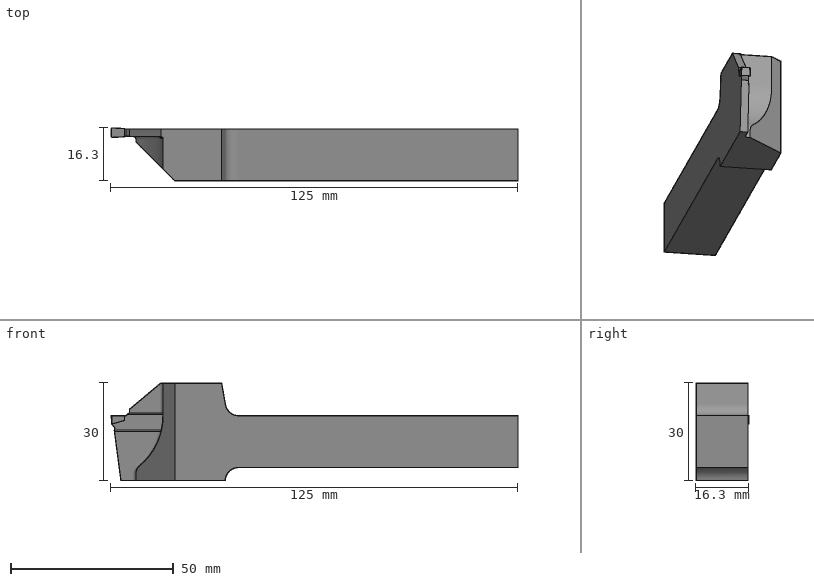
import cadquery as cq
import math


overall_length = 125.0
shank_size = 16.0
head_top = 10.0
head_bottom = -20.0
head_rear_top_x = 34.0
head_rear_draft = math.radians(10)
head_rear_fillet = 4.0

blade_thickness = 2.4
blade_bottom_x = 3.0
blade_relief = math.radians(7.5)
blade_lip_z = -4.6
throat_x = 1.1
throat_z = -3.8
nose_x = 5.6
nose_top_z = 1.9
nose_bottom_z = 0.9
nose_rear_x = 15.3
seat_top_x = 4.6

wall_upper_x = 16.0
wall_lower_x = 7.65
wall_radius = 20.0
wall_toe_radius = 3.0
wall_fillet = 1.0
front_bevel_end_x = 19.6

groove_depth = 0.2
groove_end_gap = 0.1
groove_bevel = 0.38
groove_floor_top = 0.38
groove_floor_bottom = -4.5

insert_width = 2.98
insert_length = 4.15
insert_rear_height = 1.5
insert_front_height = 2.6
insert_front_setback = 0.2
insert_side_taper = math.radians(2.5)
insert_corner = 0.3

pick = 0.1

clear = 5.0


def front_sketch(y):
    """Workplane with local axes X and Z whose positive extrusion runs toward -Y."""
    return cq.Workplane("XZ", origin=(0, y, 0))


def make_holder_blank():
    """Full-depth outline of the shank, head, blade and insert seat."""
    draft = math.tan(head_rear_draft)
    neck_x = head_rear_top_x + head_top * draft
    head_rear_bottom_x = neck_x - (-shank_size - head_bottom) * draft
    lip_x = blade_bottom_x - (blade_lip_z - head_bottom) * math.tan(blade_relief)
    blank = (
        front_sketch(0)
        .moveTo(overall_length, 0)
        .lineTo(neck_x, 0)
        .lineTo(head_rear_top_x, head_top)
        .lineTo(nose_rear_x, head_top)
        .lineTo(nose_x, nose_top_z)
        .lineTo(nose_x, nose_bottom_z)
        .lineTo(seat_top_x, 0)
        .lineTo(insert_length, 0)
        .lineTo(insert_length, -insert_rear_height)
        .lineTo(insert_front_setback, -insert_front_height)
        .lineTo(throat_x, throat_z)
        .lineTo(lip_x, blade_lip_z)
        .lineTo(blade_bottom_x, head_bottom)
        .lineTo(head_rear_bottom_x, head_bottom)
        .lineTo(neck_x, -shank_size)
        .lineTo(overall_length, -shank_size)
        .close()
        .extrude(shank_size)
    )
    for z in (0, -shank_size):
        neck = cq.selectors.BoxSelector(
            (neck_x - pick, -shank_size, z - pick), (neck_x + pick, 0, z + pick)
        )
        blank = blank.edges("|Y").edges(neck).fillet(head_rear_fillet)
    return blank


def make_front_bevel():
    """45 degree bevel on the front vertical corner of the head, ending at the blade face."""
    blade_end_x = front_bevel_end_x - (shank_size - blade_thickness)
    return (
        cq.Workplane("XY", origin=(0, 0, head_bottom))
        .moveTo(front_bevel_end_x + clear, -shank_size - clear)
        .lineTo(blade_end_x, -blade_thickness)
        .lineTo(-clear, -blade_thickness)
        .lineTo(-clear, -shank_size - clear)
        .close()
        .extrude(head_top - head_bottom)
    )


def make_pocket(floor_y, wall_gap=0.0):
    """Space from the floor outward to -Y, bounded by a curve that runs wall_gap short of the wall."""
    sweep = math.acos(1 - (wall_upper_x - wall_lower_x) / (wall_radius + wall_toe_radius))
    arc_centre_x = wall_upper_x - wall_radius
    arc_radius = wall_radius - wall_gap
    toe_centre_x = wall_lower_x + wall_toe_radius
    toe_radius = wall_toe_radius + wall_gap
    upper_x = wall_upper_x - wall_gap
    lower_x = wall_lower_x - wall_gap
    toe_z = -(wall_radius + wall_toe_radius) * math.sin(sweep)

    def on_wall(angle):
        return (arc_centre_x + arc_radius * math.cos(angle), -arc_radius * math.sin(angle))

    toe_middle = (
        toe_centre_x - toe_radius * math.cos(sweep / 2),
        toe_z + toe_radius * math.sin(sweep / 2),
    )
    return (
        front_sketch(floor_y)
        .moveTo(-clear, head_top + clear)
        .lineTo(upper_x, head_top + clear)
        .lineTo(upper_x, 0)
        .threePointArc(on_wall(sweep / 2), on_wall(sweep))
        .threePointArc(toe_middle, (lower_x, toe_z))
        .lineTo(lower_x, head_bottom - clear)
        .lineTo(-clear, head_bottom - clear)
        .close()
        .extrude(shank_size + clear)
    )


def make_groove():
    """Bevel-sided groove along X that stops just short of the curved wall."""
    floor_y = groove_depth - blade_thickness
    outer_y = -blade_thickness - wall_fillet
    top = groove_floor_top + groove_bevel
    bottom = groove_floor_bottom - groove_bevel
    band = (
        cq.Workplane("YZ", origin=(-clear, 0, 0))
        .moveTo(floor_y, groove_floor_top)
        .lineTo(-blade_thickness, top)
        .lineTo(outer_y, top)
        .lineTo(outer_y, bottom)
        .lineTo(-blade_thickness, bottom)
        .lineTo(floor_y, groove_floor_bottom)
        .close()
        .extrude(wall_upper_x + 2 * clear)
    )
    return band.intersect(make_pocket(floor_y, groove_end_gap))


def make_filleted_pocket():
    """Pocket down to the blade face, its floor rounded into the curved wall."""
    wall_foot = cq.selectors.BoxSelector(
        (wall_lower_x - pick, -blade_thickness - pick, head_bottom - clear + pick),
        (wall_upper_x + pick, -blade_thickness + pick, head_top + clear - pick),
    )
    return make_pocket(-blade_thickness).edges(wall_foot).fillet(wall_fillet)


def make_holder():
    blank = make_holder_blank()
    return blank.cut(make_filleted_pocket()).cut(make_front_bevel()).cut(make_groove())


def make_insert():
    """Insert with a sloped underside, tapering in width away from the cutting edge."""
    half_front = insert_width / 2
    half_rear = half_front - insert_length * math.tan(insert_side_taper)
    plan = (
        cq.Workplane("XY", origin=(0, -blade_thickness / 2, -insert_front_height))
        .moveTo(insert_corner, -half_front)
        .lineTo(insert_length, -half_rear)
        .lineTo(insert_length, half_rear)
        .lineTo(insert_corner, half_front)
        .lineTo(0, half_front - insert_corner)
        .lineTo(0, insert_corner - half_front)
        .close()
        .extrude(insert_front_height)
    )
    side = (
        front_sketch(insert_width)
        .moveTo(0, 0)
        .lineTo(insert_length, 0)
        .lineTo(insert_length, -insert_rear_height)
        .lineTo(insert_front_setback, -insert_front_height)
        .close()
        .extrude(3 * insert_width)
    )
    return plan.intersect(side)


holder = make_holder()
insert = make_insert()
result = cq.Compound.makeCompound([holder.val(), insert.val()])